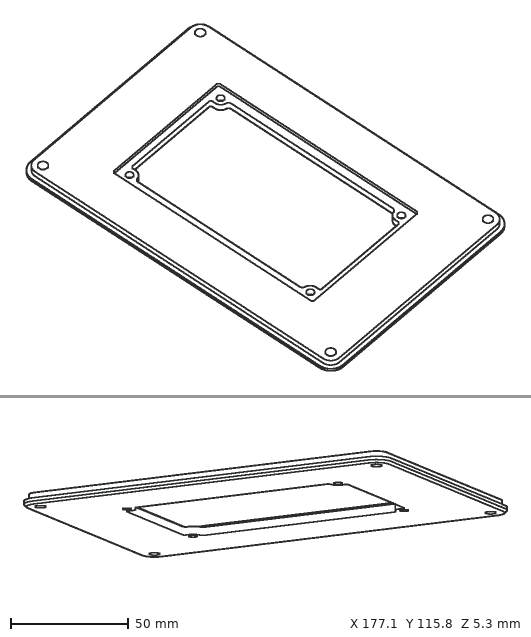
import cadquery as cq

length = 177.1
width = 115.8
thickness = 5.3
flange_height = 2.5
flange_chamfer = 1.0
ledge = 2.1
flange_radius = 7.0
plate_radius = flange_radius - ledge

mount_hole_diameter = 4.6
mount_spacing_x = length - 2 * flange_radius
mount_spacing_y = width - 2 * flange_radius

recess_length = 113.3
recess_width = 68.4
recess_depth = 1.8
recess_radius = 1.0

window_length = 107.1
window_width = 60.0
screw_hole_diameter = 3.5
screw_spacing_x = 102.4
screw_spacing_y = 58.8
tab_radius = 3.7
tab_side_fillet = 0.9
tab_end_fillet = 1.8


def rounded_block(size_x, size_y, height, radius):
    """Block standing on Z = 0 with rounded vertical edges."""
    return cq.Workplane("XY").box(size_x, size_y, height, centered=(True, True, False)).edges("|Z").fillet(radius)


def corner_holes(spacing_x, spacing_y, diameter):
    """Four through holes on a rectangular pattern."""
    return (
        cq.Workplane("XY")
        .rect(spacing_x, spacing_y, forConstruction=True)
        .vertices()
        .circle(diameter / 2)
        .extrude(thickness)
    )


def window_cutter():
    """Window opening, stepped in at the corners to leave the screw tabs."""
    inner_length = screw_spacing_x - 2 * tab_radius
    inner_width = screw_spacing_y - 2 * tab_radius
    long_bar = cq.Workplane("XY").box(window_length, inner_width, thickness, centered=(True, True, False))
    tall_bar = cq.Workplane("XY").box(inner_length, window_width, thickness, centered=(True, True, False))
    cutter = long_bar.union(tall_bar)

    side_x = window_length / 2
    end_y = window_width / 2
    tab_x = inner_length / 2
    tab_y = inner_width / 2
    rounded_corners = (
        (side_x, tab_y, tab_side_fillet),
        (tab_x, end_y, tab_end_fillet),
        (tab_x, tab_y, tab_radius),
    )
    reach = 0.2
    for x, y, radius in rounded_corners:
        for sign_x in (-1, 1):
            for sign_y in (-1, 1):
                corner = (sign_x * x, sign_y * y)
                low = (corner[0] - reach, corner[1] - reach, -reach)
                high = (corner[0] + reach, corner[1] + reach, thickness + reach)
                cutter = cutter.edges(cq.selectors.BoxSelector(low, high)).edges("|Z").fillet(radius)
    return cutter


flange = rounded_block(length, width, flange_height, flange_radius).faces("<Z").edges().chamfer(flange_chamfer)
plate = rounded_block(length - 2 * ledge, width - 2 * ledge, thickness, plate_radius)
recess = rounded_block(recess_length, recess_width, recess_depth, recess_radius)

result = (
    flange.union(plate)
    .cut(recess.translate((0, 0, thickness - recess_depth)))
    .cut(window_cutter())
    .cut(corner_holes(mount_spacing_x, mount_spacing_y, mount_hole_diameter))
    .cut(corner_holes(screw_spacing_x, screw_spacing_y, screw_hole_diameter))
)